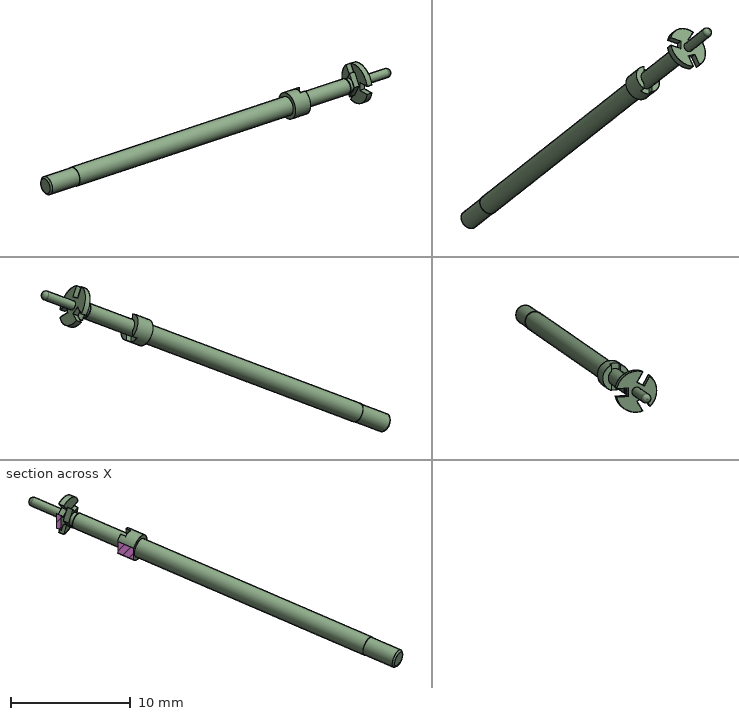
import cadquery as cq
import math

LENGTH = 36.2
TIP_Y = LENGTH / 2

DISC_START = 3.2
DISC_END = 3.7
HUB_END = 4.25
NECK_END = 4.6
COLLAR_START = 9.2
COLLAR_END = 10.8
PLUNGER_START = 33.2

TIP_RADIUS = 0.4
DISC_RADIUS = 3.5 / 2
NECK_RADIUS = 0.6
BODY_RADIUS = 0.7
COLLAR_RADIUS = 1.15
BARREL_RADIUS = 0.85
PLUNGER_RADIUS = 0.8

TIP_FILLET = 0.35
PLUNGER_CHAMFER = 0.15

SLOT_COUNT = 3
SLOT_WIDTH = 0.72
SLOT_FLOOR_RADIUS = 0.72

HUB_HALF_HEIGHT = 1.1
HUB_POINT_ANGLE = 60.0

NOTCH_WIDTH = 0.8
NOTCH_DEPTH = 0.47


def section_plane(start):
    """XZ plane at a distance from the tip; extrusions from it run toward -Y."""
    return cq.Plane(origin=(0, TIP_Y - start, 0), xDir=(-1, 0, 0), normal=(0, -1, 0))


def turned(radius, start, end):
    return cq.Workplane(section_plane(start)).circle(radius).extrude(end - start)


def make_tip():
    return turned(TIP_RADIUS, 0, DISC_START).faces(">Y").edges().fillet(TIP_FILLET)


def make_disc():
    disc = turned(DISC_RADIUS, DISC_START, DISC_END)
    thickness = DISC_END - DISC_START
    slot = cq.Workplane("XY").box(DISC_RADIUS, thickness, SLOT_WIDTH, centered=(False, True, True))
    slot = slot.translate((SLOT_FLOOR_RADIUS, TIP_Y - (DISC_START + DISC_END) / 2, 0))
    for index in range(SLOT_COUNT):
        disc = disc.cut(slot.rotate((0, 0, 0), (0, 1, 0), index * 360 / SLOT_COUNT))
    return disc


def make_hub():
    half_width = HUB_HALF_HEIGHT * math.tan(math.radians(HUB_POINT_ANGLE / 2))
    corners = [(half_width, 0), (0, HUB_HALF_HEIGHT), (-half_width, 0), (0, -HUB_HALF_HEIGHT)]
    return cq.Workplane(section_plane(DISC_END)).polyline(corners).close().extrude(HUB_END - DISC_END)


def make_collar():
    collar = turned(COLLAR_RADIUS, COLLAR_START, COLLAR_END)
    notch = (
        cq.Workplane(section_plane(COLLAR_START))
        .rect(NOTCH_WIDTH, 2 * COLLAR_RADIUS)
        .extrude(NOTCH_DEPTH)
    )
    return collar.cut(notch)


def make_plunger():
    plunger = turned(PLUNGER_RADIUS, PLUNGER_START, LENGTH)
    return plunger.faces("<Y").edges().chamfer(PLUNGER_CHAMFER)


result = (
    make_tip()
    .union(make_disc())
    .union(make_hub())
    .union(turned(NECK_RADIUS, HUB_END, NECK_END))
    .union(turned(BODY_RADIUS, NECK_END, COLLAR_END))
    .union(make_collar())
    .union(turned(BARREL_RADIUS, COLLAR_END, PLUNGER_START))
    .union(make_plunger())
)